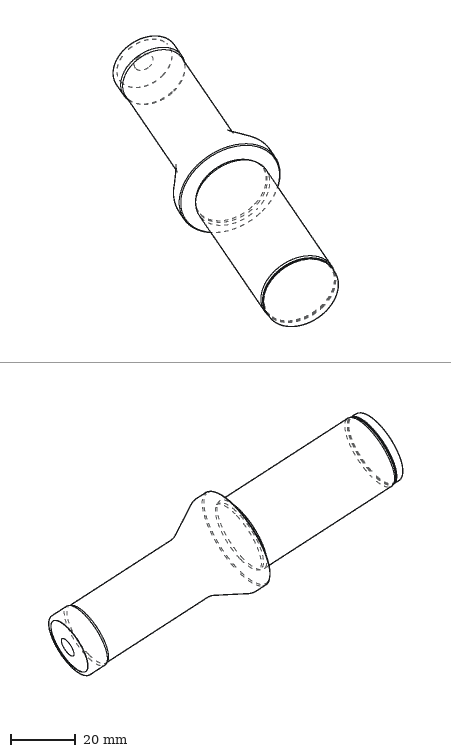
import cadquery as cq
import math

overall_length = 122.0

tip_length = 7.8
tip_radius = 10.9
ridge_base_x = 0.5
face_edge_x = 0.7
face_radius = 9.3
rim_x = 0.6
rim_fillet = 0.7
tip_chamfer_length = 0.7
ridge_radius = 3.2
ridge_base_radius = 5.9
dish_depth = 0.6

neck_radius = 21.0 / 2
neck_end_x = 47.5
root_fillet = 5.9
shoulder_angle = math.radians(28)

flange_radius = 34.0 / 2
flange_fillet = 3.0
flange_end_x = 66.1
flange_chamfer = 0.4

shank_radius = 25.0 / 2
relief_radius = 12.1
relief_fillet = 0.2
relief_end_x = 67.1
shank_start_x = 68.1
shank_end_x = 118.0

end_radius = 24.5 / 2
end_groove_radius = 12.0
end_groove_start_x = 118.7
end_groove_width = 0.4
end_fillet = 1.1


def revolve_about_x(profile):
    """Close a half profile and revolve it about the X axis."""
    return profile.close().revolve(360, (0, 0, 0), (1, 0, 0))


def make_tip():
    """Short collar with a ridged, dished front face."""
    profile = (
        cq.Workplane("XY")
        .moveTo(dish_depth, 0)
        .lineTo(0, ridge_radius)
        .lineTo(ridge_base_x, ridge_base_radius)
        .lineTo(face_edge_x, face_radius)
        .lineTo(rim_x, face_radius)
        .lineTo(rim_x, tip_radius - rim_fillet)
        .radiusArc((rim_x + rim_fillet, tip_radius), rim_fillet)
        .lineTo(tip_length - tip_chamfer_length, tip_radius)
        .lineTo(tip_length, neck_radius)
        .lineTo(tip_length, 0)
    )
    return revolve_about_x(profile)


def make_holder():
    """Neck, conical shoulder, flange and cylindrical shank."""
    sin_angle = math.sin(shoulder_angle)
    rise_factor = 1 - math.cos(shoulder_angle)

    cone_start_x = neck_end_x + root_fillet * sin_angle
    cone_start_radius = neck_radius + root_fillet * rise_factor
    cone_end_radius = flange_radius - flange_fillet * rise_factor
    cone_end_x = cone_start_x + (cone_end_radius - cone_start_radius) / math.tan(shoulder_angle)
    flange_start_x = cone_end_x + flange_fillet * sin_angle

    end_groove_end_x = end_groove_start_x + end_groove_width
    profile = (
        cq.Workplane("XY")
        .moveTo(tip_length, 0)
        .lineTo(tip_length, neck_radius)
        .lineTo(neck_end_x, neck_radius)
        .radiusArc((cone_start_x, cone_start_radius), -root_fillet)
        .lineTo(cone_end_x, cone_end_radius)
        .radiusArc((flange_start_x, flange_radius), flange_fillet)
        .lineTo(flange_end_x - flange_chamfer, flange_radius)
        .lineTo(flange_end_x, flange_radius - flange_chamfer)
        .lineTo(flange_end_x, relief_radius + relief_fillet)
        .radiusArc((flange_end_x + relief_fillet, relief_radius), -relief_fillet)
        .lineTo(relief_end_x, relief_radius)
        .lineTo(shank_start_x, shank_radius)
        .lineTo(shank_end_x, shank_radius)
        .lineTo(end_groove_start_x, end_radius)
        .lineTo(end_groove_start_x, end_groove_radius)
        .lineTo(end_groove_end_x, end_groove_radius)
        .lineTo(end_groove_end_x, end_radius)
        .lineTo(overall_length - end_fillet, end_radius)
        .radiusArc((overall_length, end_radius - end_fillet), end_fillet)
        .lineTo(overall_length, 0)
    )
    return revolve_about_x(profile)


tip = make_tip()
holder = make_holder()

result = cq.Compound.makeCompound([tip.val(), holder.val()])